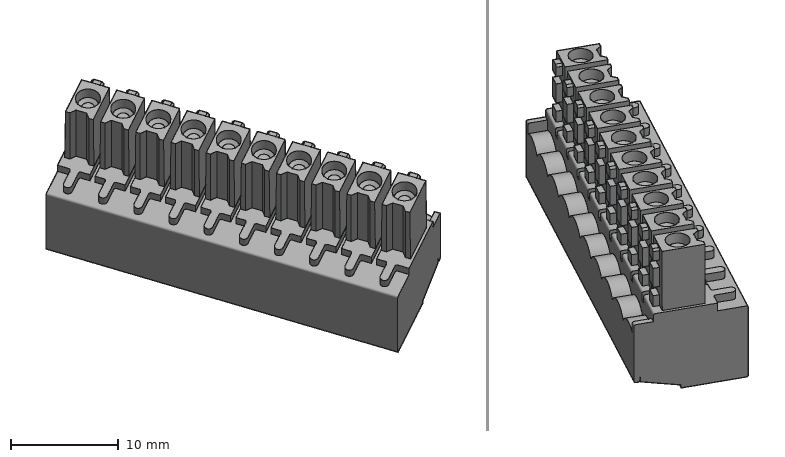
import cadquery as cq

pole_count = 10
pitch = 3.5
length = pole_count * pitch
depth = 11.1
total_height = 15.5
ledge_height = 8.0
edge_radius = 0.2

sole_depth = 6.55
riser_height = 0.35
riser_radius = 0.1
lip_height = 1.47
lip_front = 10.45
slit_width = 0.05
slit_height = 0.5

pad_top = 8.9
pad_front = 2.98
pad_rear = 9.2
slot_width = 0.52
finger_width = 0.85
finger_front = 0.75
finger_root_radius = 0.2

post_front = 4.1
post_rear = 8.25
post_base_width = 2.95
post_top_width = 2.75
groove_floor_width = 1.05
groove_mouth_width = 1.9
groove_depth = 0.52

hole_y = 6.35
hole_top_radius = 1.15
hole_wall_radius = 1.0
hole_wall_depth = 1.05
hole_floor_radius = 0.6
hole_floor_depth = 1.3

key_rear = 8.9
key_width = 1.2
key_spans = [(pad_top, 10.1), (11.05, 13.2), (14.05, 15.3)]
key_chamfer = 0.2

barrel_drop = 0.8
barrel_sag = 0.95
end_wall = 0.55

margin = 0.05

pole_centers = [(i + 0.5) * pitch for i in range(pole_count)]


def box(x_range, y_range, z_range):
    """Axis-aligned box between the given limits."""
    (x0, x1), (y0, y1), (z0, z1) = x_range, y_range, z_range
    return cq.Workplane("XY").box(x1 - x0, y1 - y0, z1 - z0, centered=False).translate((x0, y0, z0))


def make_block():
    """Solid block below the ledge, with its side profile swept along X."""
    profile = [
        (0, 0),
        (sole_depth, 0),
        (sole_depth, riser_height),
        (lip_front, lip_height),
        (depth, lip_height),
        (depth, ledge_height),
        (0, ledge_height),
    ]
    block = cq.Workplane("YZ").polyline(profile).close().extrude(length)
    slit = box((0, length), (lip_front, lip_front + slit_width), (0, lip_height + slit_height))
    block = block.cut(slit)
    lip_bottom = cq.selectors.BoxSelector(
        (0, lip_front + slit_width / 2, lip_height - margin),
        (length, depth + margin, lip_height + margin),
    )
    block = block.edges("|X").edges(lip_bottom).fillet(edge_radius)
    block = block.faces(">Y").edges(">Z").fillet(edge_radius)
    block = block.faces("<Y").edges("|X").fillet(edge_radius)
    return block.faces("<Z").edges(">Y").fillet(riser_radius)


def make_barrel_relief():
    """Cutter leaving one convex barrel per pole, with crests below the ledge."""
    crest = ledge_height - barrel_drop
    valley = crest - barrel_sag
    relief = box((end_wall, length - end_wall), (pad_rear, depth), (valley, ledge_height))
    barrel = (
        cq.Workplane("XZ", origin=(0, depth, 0))
        .moveTo(-pitch / 2, valley)
        .threePointArc((0, crest), (pitch / 2, valley))
        .close()
        .extrude(depth - pad_rear)
    )
    for x in pole_centers:
        relief = relief.cut(barrel.translate((x, 0, 0)))
    return relief


def make_pad(index):
    """Raised pad with its rounded finger; the outer pads run to the block ends."""
    left = 0 if index == 0 else index * pitch + slot_width / 2
    right = length if index == pole_count - 1 else (index + 1) * pitch - slot_width / 2
    heights = (ledge_height, pad_top)
    pad = box((left, right), (pad_front, pad_rear), heights)
    pad = pad.faces(">Y").edges(">Z").fillet(edge_radius)
    x = pole_centers[index]
    tip_y = finger_front + finger_width / 2
    half = finger_width / 2
    finger = box((x - half, x + half), (tip_y, pad_front + margin), heights)
    tip = cq.Workplane("XY", origin=(x, tip_y, ledge_height)).circle(half).extrude(pad_top - ledge_height)
    pad = pad.union(finger).union(tip)
    roots = cq.selectors.BoxSelector(
        (x - half - margin, pad_front - margin, ledge_height - margin),
        (x + half + margin, pad_front + margin, pad_top + margin),
    )
    return pad.edges("|Z").edges(roots).fillet(finger_root_radius)


def make_hole():
    """Revolved cutter for the screw access hole, with its mouth at the post top."""
    return (
        cq.Workplane("XZ")
        .polyline([
            (0, 0),
            (hole_top_radius, 0),
            (hole_wall_radius, -hole_wall_depth),
            (hole_floor_radius, -hole_floor_depth),
            (0, -hole_floor_depth),
        ])
        .close()
        .revolve(360, (0, 0), (0, 1))
        .translate((0, hole_y, total_height))
    )


def make_keys():
    """Rear keys of one post; the uppermost has its top side edges chamfered."""
    half = key_width / 2
    keys = cq.Workplane("XY")
    for bottom, top in key_spans:
        key = box((-half, half), (post_rear, key_rear), (bottom, top))
        if top == key_spans[-1][1]:
            key = key.faces(">Z").edges("|Y").chamfer(key_chamfer)
        keys = keys.add(key)
    return keys.combine()


def make_post():
    """One post centred on X = 0."""
    half_base = post_base_width / 2
    half_top = post_top_width / 2
    post = (
        cq.Workplane("XZ", origin=(0, post_rear, 0))
        .polyline([
            (-half_base, ledge_height),
            (half_base, ledge_height),
            (half_top, total_height),
            (-half_top, total_height),
        ])
        .close()
        .extrude(post_rear - post_front)
    )
    groove = (
        cq.Workplane("XY", origin=(0, post_front, pad_top))
        .polyline([
            (-groove_mouth_width / 2, 0),
            (groove_mouth_width / 2, 0),
            (groove_floor_width / 2, groove_depth),
            (-groove_floor_width / 2, groove_depth),
        ])
        .close()
        .extrude(total_height - pad_top)
    )
    return post.cut(groove).cut(make_hole()).union(make_keys())


result = make_block().cut(make_barrel_relief())
post = make_post()
for index, center in enumerate(pole_centers):
    result = result.union(make_pad(index)).union(post.translate((center, 0, 0)))